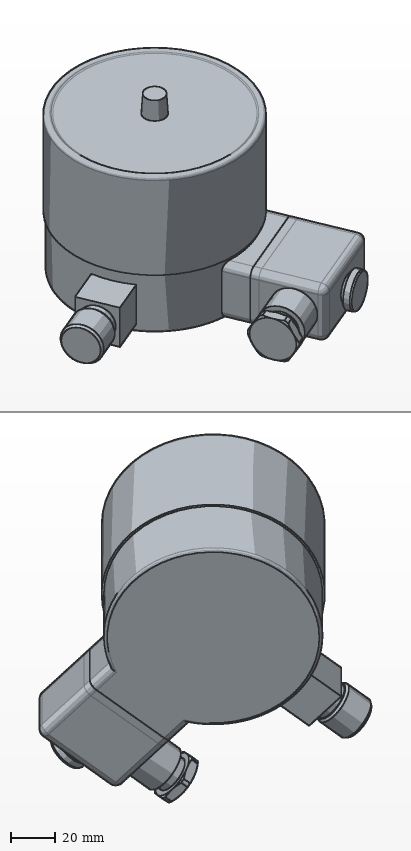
import cadquery as cq
import math

case_radius = 49.5
case_height = 33.0
case_bottom_fillet = 1.5
hood_radius = 50.5
hood_top = 88.0
rim_radius = 2.0
rim_inner_fillet = 1.0
window_depth = 1.0
window_height = hood_top - window_depth

pin_bottom_radius = 6.1
pin_top_radius = 5.4
overall_height = 98.0

connection_height = 15.5
socket_size = 22.0
socket_end = 67.5
thread_neck_radius = 9.0
thread_neck_end = 71.2
thread_radius = 10.6
thread_end = 87.0
thread_chamfer_length = 1.3
thread_chamfer_depth = 1.0

connector_width = 48.6
connector_center_y = -0.1
connector_height = 2 * connection_height
connector_fillet = 4.0
base_start = 30.0
seal_start = 57.0
seal_end = 61.0
plug_end = 94.0

screw_neck_radius = 6.7
screw_head_radius = 9.9
screw_cone_length = 2.4
screw_end = 100.5
screw_chamfer_length = 0.9
screw_chamfer_depth = 0.4

gland_x = 78.4
gland_radius = 11.45
gland_end = 39.4
gland_neck_radius = 8.7
gland_neck_end = 44.3
nut_end = 49.3
nut_across_flats = 22.9
nut_turn = 30.0
nut_corner_radius = 12.65
nut_chamfer_length = 0.6


def turned_along_minus_y(profile, x):
    """Revolve (distance from the case axis, radius) points about a line along -Y at the given X."""
    outline = [(radius, -distance) for distance, radius in profile]
    axis_plane = cq.Workplane("XY", origin=(x, 0, connection_height))
    return axis_plane.polyline(outline).close().revolve(360, (0, 0, 0), (0, 1, 0))


def rounded_prism(start, end):
    """Length of the connector outline between two X positions, with its four long edges rounded."""
    return (
        cq.Workplane("YZ", origin=(start, connector_center_y, connection_height))
        .rect(connector_width, connector_height)
        .extrude(end - start)
        .edges("|X")
        .fillet(connector_fillet)
    )


def round_case():
    """Case and hood with the half-round rim that blends into the flat window."""
    rim_center = hood_radius - rim_radius
    center_distance = rim_radius + rim_inner_fillet
    rim_center_height = hood_top - rim_radius
    blend_height = window_height + rim_inner_fillet
    blend_angle = math.asin((blend_height - rim_center_height) / center_distance)
    blend_center = rim_center - center_distance * math.cos(blend_angle)
    blend_end = (
        rim_center - rim_radius * math.cos(blend_angle),
        rim_center_height + rim_radius * math.sin(blend_angle),
    )
    blend_mid_angle = (math.pi / 2 + blend_angle) / 2
    blend_mid = (
        blend_center + rim_inner_fillet * math.cos(blend_mid_angle),
        blend_height - rim_inner_fillet * math.sin(blend_mid_angle),
    )
    outline = (
        cq.Workplane("XZ")
        .lineTo(case_radius, 0)
        .lineTo(case_radius, case_height)
        .lineTo(hood_radius, case_height)
        .lineTo(hood_radius, rim_center_height)
        .threePointArc((rim_center, hood_top), blend_end)
        .threePointArc(blend_mid, (blend_center, window_height))
        .lineTo(0, window_height)
        .close()
    )
    body = outline.revolve(360, (0, 0, 0), (0, 1, 0))
    return body.faces("<Z").edges().fillet(case_bottom_fillet)


def key_pin():
    outline = [
        (0, window_height),
        (pin_bottom_radius, window_height),
        (pin_top_radius, overall_height),
        (0, overall_height),
    ]
    return cq.Workplane("XZ").polyline(outline).close().revolve(360, (0, 0, 0), (0, 1, 0))


def process_connection():
    """Square block with a necked, chamfered thread stub."""
    block = (
        cq.Workplane("XZ", origin=(0, 0, connection_height))
        .rect(socket_size, socket_size)
        .extrude(socket_end)
    )
    chamfer_radius = thread_radius - thread_chamfer_depth
    stub = turned_along_minus_y(
        [
            (0, 0),
            (0, thread_neck_radius),
            (thread_neck_end, thread_neck_radius),
            (thread_neck_end, chamfer_radius),
            (thread_neck_end + thread_chamfer_length, thread_radius),
            (thread_end - thread_chamfer_length, thread_radius),
            (thread_end, chamfer_radius),
            (thread_end, 0),
        ],
        0,
    )
    return block.union(stub)


def gauge_body():
    """Case with pin, process connection and the fixed base of the cable connector."""
    base = rounded_prism(base_start, seal_start)
    return round_case().union(key_pin()).union(process_connection()).union(base)


def fixing_screw():
    outline = [
        (seal_end, 0),
        (seal_end, screw_neck_radius),
        (plug_end, screw_neck_radius),
        (plug_end + screw_cone_length, screw_head_radius),
        (screw_end - screw_chamfer_length, screw_head_radius),
        (screw_end, screw_head_radius - screw_chamfer_depth),
        (screw_end, 0),
    ]
    axis_plane = cq.Workplane("XZ", origin=(0, 0, connection_height))
    return axis_plane.polyline(outline).close().revolve(360, (0, 0, 0), (1, 0, 0))


def gland_nut():
    """Hexagon nut with its corners turned round and its two ends chamfered."""
    hexagon = (
        cq.Workplane("XZ", origin=(gland_x, -gland_neck_end, connection_height))
        .polygon(6, nut_across_flats, circumscribed=True)
        .extrude(nut_end - gland_neck_end)
        .rotate((gland_x, 0, connection_height), (gland_x, 1, connection_height), nut_turn)
    )
    end_radius = nut_across_flats / 2
    envelope = turned_along_minus_y(
        [
            (gland_neck_end, 0),
            (gland_neck_end, end_radius),
            (gland_neck_end + nut_chamfer_length, nut_corner_radius),
            (nut_end - nut_chamfer_length, nut_corner_radius),
            (nut_end, end_radius),
            (nut_end, 0),
        ],
        gland_x,
    )
    return hexagon.intersect(envelope)


def cable_gland():
    sleeve = turned_along_minus_y(
        [
            (0, 0),
            (0, gland_radius),
            (gland_end, gland_radius),
            (gland_end, gland_neck_radius),
            (gland_neck_end, gland_neck_radius),
            (gland_neck_end, 0),
        ],
        gland_x,
    )
    return sleeve.union(gland_nut())


def cable_plug():
    """Removable plug with its seal, fixing screw and cable gland."""
    housing = rounded_prism(seal_end, plug_end).faces(">X").edges().fillet(connector_fillet)
    fitted_plug = housing.union(fixing_screw()).union(cable_gland())
    seal = rounded_prism(seal_start, seal_end)
    return fitted_plug.union(seal, clean=False)


gauge = gauge_body()
plug = cable_plug()
result = cq.Compound.makeCompound([gauge.val(), plug.val()])